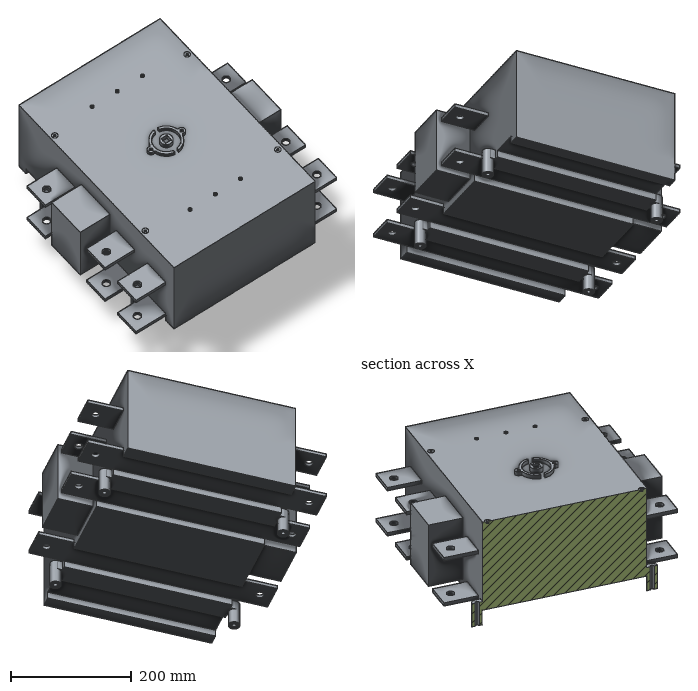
import cadquery as cq


housing_left = 210.0
housing_right = 214.0
housing_depth = 295.0
housing_height = 170.0
half_depth = housing_depth / 2

overall_depth = 419.0
terminal_xs = (-81.5, 81.5, 166.5)
terminal_width = 50.0
terminal_thickness = 6.35
terminal_bottoms = (12.65, 99.65)
terminal_hole_diameter = 14.0
terminal_hole_inset = 22.0

notch_xs = (-165.5,) + terminal_xs
notch_height = terminal_bottoms[0]

block_width = 78.0
block_bottom = 14.0
block_top = 132.0

foot_x = 124.0
foot_radius = 9.5
foot_y = half_depth + foot_radius
foot_top = 17.5
foot_bottom = -28.0
foot_hole_diameter = 7.0

screw_y = half_depth - 9.2
screw_seat_diameter = 11.0
screw_seat_depth = 0.5
screw_hole_diameter = 4.0
screw_hole_depth = 4.0

top_hole_x = 134.0
top_hole_pitch = 52.5
top_hole_mouth_diameter = 6.5
top_hole_mouth_depth = 1.5
top_hole_core_diameter = 4.0
top_hole_core_depth = 5.0

collar_outer_radius = 29.0
collar_inner_radius = 24.5
collar_height = 7.0
collar_gap = 8.0
ear_y = 32.0
ear_radius = 6.5
ear_hole_diameter = 6.0
ear_fillet = 2.0
shaft_diameter = 22.5
shaft_height = 8.75
socket_side = 12.0
socket_depth = shaft_height


def box(width, depth, height, x, z):
    """Box centred on Y = 0 and on the given x, standing on the given z."""
    return cq.Workplane("XY", origin=(x, 0, z)).rect(width, depth).extrude(height)


def make_housing():
    width = housing_left + housing_right
    center_x = (housing_right - housing_left) / 2
    housing = box(width, housing_depth, housing_height, center_x, 0)
    for x in notch_xs:
        housing = housing.cut(box(terminal_width, housing_depth, notch_height, x, 0))
    return housing


def make_terminal(x, bottom):
    hole_y = overall_depth / 2 - terminal_hole_inset
    return (
        box(terminal_width, overall_depth, terminal_thickness, x, bottom)
        .faces(">Z")
        .workplane(origin=(x, 0, 0))
        .pushPoints([(0, -hole_y), (0, hole_y)])
        .hole(terminal_hole_diameter)
    )


def make_foot(x, side):
    """Round post joined to the housing face by a lug; side is +1 or -1 along Y."""
    post = (
        cq.Workplane("XY", origin=(x, side * foot_y, foot_bottom))
        .circle(foot_radius)
        .extrude(foot_top - foot_bottom)
    )
    lug = (
        cq.Workplane("XY", origin=(x, side * (half_depth + foot_radius / 2), 0))
        .rect(2 * foot_radius, foot_radius)
        .extrude(foot_top)
    )
    return post.union(lug).faces(">Z").workplane(origin=(x, side * foot_y, 0)).hole(foot_hole_diameter)


def make_collar():
    """Split ring with two screw ears blended into its rim."""
    top_plane = cq.Workplane("XY", origin=(0, 0, housing_height))
    ear_centers = top_plane.pushPoints([(0, -ear_y), (0, ear_y)])
    ears = ear_centers.circle(ear_radius).extrude(collar_height)
    collar = top_plane.circle(collar_outer_radius).extrude(collar_height).union(ears)
    concave_corners = cq.selectors.BoxSelector(
        (-ear_radius, -ear_y, 0), (ear_radius, ear_y, 2 * housing_height)
    )
    collar = collar.edges("|Z").edges(concave_corners).fillet(ear_fillet)
    bore = top_plane.circle(collar_inner_radius).extrude(collar_height)
    gap = box(3 * collar_outer_radius, collar_gap, collar_height, 0, housing_height)
    ear_holes = ear_centers.circle(ear_hole_diameter / 2).extrude(collar_height)
    return collar.cut(bore).cut(gap).cut(ear_holes)


def make_shaft():
    shaft = cq.Workplane("XY", origin=(0, 0, housing_height)).circle(shaft_diameter / 2).extrude(shaft_height)
    return shaft.faces(">Z").workplane().rect(socket_side, socket_side).cutBlind(-socket_depth)


def cut_screw_recesses(body):
    """Shallow round seats, each with a narrow hole in its floor."""
    top_plane = cq.Workplane("XY", origin=(0, 0, housing_height))
    centers = top_plane.rarray(2 * foot_x, 2 * screw_y, 2, 2)
    body = body.cut(centers.circle(screw_seat_diameter / 2).extrude(-screw_seat_depth))
    return body.cut(centers.circle(screw_hole_diameter / 2).extrude(-screw_hole_depth))


def cut_top_holes(body):
    """Two rows of three holes, each a wide mouth above a narrower core."""
    top_plane = cq.Workplane("XY", origin=(0, 0, housing_height))
    centers = top_plane.rarray(2 * top_hole_x, top_hole_pitch, 2, 3)
    body = body.cut(centers.circle(top_hole_mouth_diameter / 2).extrude(-top_hole_mouth_depth))
    return body.cut(centers.circle(top_hole_core_diameter / 2).extrude(-top_hole_core_depth))


part = make_housing()
part = part.union(box(block_width, overall_depth, block_top - block_bottom, 0, block_bottom))
for terminal_x in terminal_xs:
    for terminal_bottom in terminal_bottoms:
        part = part.union(make_terminal(terminal_x, terminal_bottom))
for foot_center_x in (-foot_x, foot_x):
    for foot_side in (-1, 1):
        part = part.union(make_foot(foot_center_x, foot_side))
part = cut_screw_recesses(part)
part = cut_top_holes(part)
result = part.union(make_collar()).union(make_shaft())